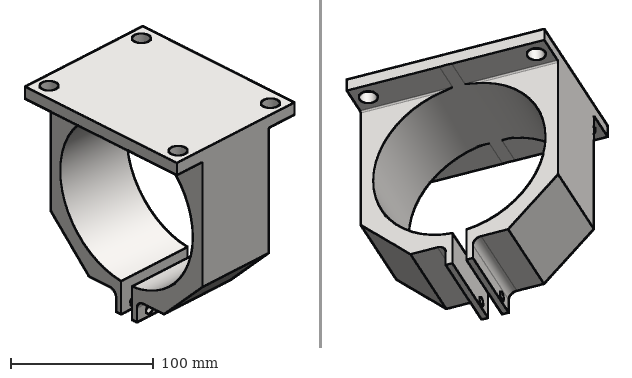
import cadquery as cq

plate_length = 149.9
plate_width = 117.5
plate_thickness = 10.0
plate_hole_diameter = 13.2
plate_hole_spacing_x = 127.4
plate_hole_spacing_y = 92.2

total_height = 167.6
clamp_width = 66.4
body_bottom = -plate_length
corner_chamfer = 37.9
plate_fillet = 1.2
bore_radius = 65.4
bore_center_z = -75.3

slot_width = 10.5
tab_thickness = 5.0
tab_fillet = 6.2
tab_hole_diameter = 6.9
tab_hole_y = -20.6
tab_hole_height = 5.5

half_length = plate_length / 2
tab_outer_x = slot_width / 2 + tab_thickness


def extrude_across_width(outline):
    """Extrude an XZ outline over the clamp width, centred on Y."""
    return outline.extrude(clamp_width / 2, both=True)


def make_plate():
    return cq.Workplane("XY").box(
        plate_length, plate_width, plate_thickness, centered=(True, True, False)
    ).translate((0, 0, -plate_thickness))


def make_clamp():
    """Block with chamfered lower corners and a filleted central tab."""
    flat_end_x = half_length - corner_chamfer
    fillet_end_x = tab_outer_x + tab_fillet
    outline = (
        cq.Workplane("XZ")
        .moveTo(-half_length, -plate_thickness)
        .lineTo(half_length, -plate_thickness)
        .lineTo(half_length, body_bottom + corner_chamfer)
        .lineTo(flat_end_x, body_bottom)
        .lineTo(fillet_end_x, body_bottom)
        .radiusArc((tab_outer_x, body_bottom - tab_fillet), -tab_fillet)
        .lineTo(tab_outer_x, -total_height)
        .lineTo(-tab_outer_x, -total_height)
        .lineTo(-tab_outer_x, body_bottom - tab_fillet)
        .radiusArc((-fillet_end_x, body_bottom), -tab_fillet)
        .lineTo(-flat_end_x, body_bottom)
        .lineTo(-half_length, body_bottom + corner_chamfer)
        .close()
    )
    return extrude_across_width(outline)


def make_plate_fillet(side):
    """Concave fillet between the plate and one clamp face (side is +1 or -1)."""
    face_y = side * clamp_width / 2
    outer_y = face_y + side * plate_fillet
    lower_z = -plate_thickness - plate_fillet
    return (
        cq.Workplane("YZ")
        .moveTo(face_y, -plate_thickness)
        .lineTo(outer_y, -plate_thickness)
        .radiusArc((face_y, lower_z), -side * plate_fillet)
        .close()
        .extrude(half_length, both=True)
    )


def make_bore():
    return (
        cq.Workplane("XZ")
        .center(0, bore_center_z)
        .circle(bore_radius)
        .extrude(plate_width / 2, both=True)
    )


def make_slot():
    slot_height = total_height + bore_center_z
    outline = (
        cq.Workplane("XZ")
        .center(0, bore_center_z - slot_height / 2)
        .rect(slot_width, slot_height)
    )
    return extrude_across_width(outline)


def make_plate_holes():
    return (
        cq.Workplane("XY")
        .rect(plate_hole_spacing_x, plate_hole_spacing_y, forConstruction=True)
        .vertices()
        .circle(plate_hole_diameter / 2)
        .extrude(-plate_thickness)
    )


def make_tab_hole():
    """Screw hole along X through both tabs."""
    return (
        cq.Workplane("YZ")
        .center(tab_hole_y, -total_height + tab_hole_height)
        .circle(tab_hole_diameter / 2)
        .extrude(tab_outer_x, both=True)
    )


result = make_plate().union(make_clamp())
for side in (-1, 1):
    result = result.union(make_plate_fillet(side))
for cutter in (make_bore(), make_slot(), make_plate_holes(), make_tab_hole()):
    result = result.cut(cutter)